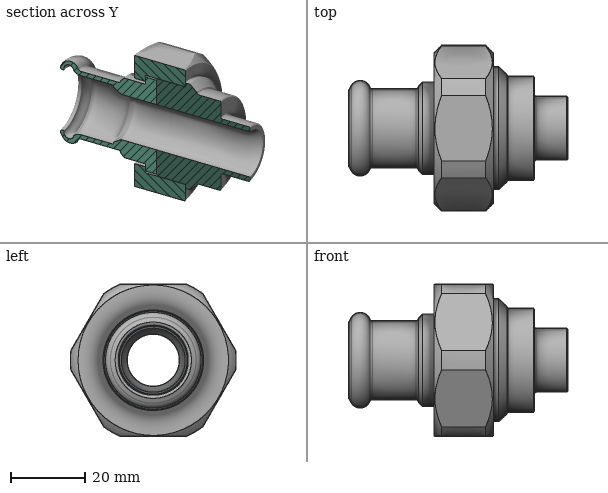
import cadquery as cq
import math

BORE_D = 14.0

TUBE_R = 21.3 / 2
LIP_R = 18.7 / 2
SOCKET_R = 18.3 / 2
STOP_R = 17.2 / 2
CONE_R = 17.0 / 2
MOUTH_R = 10.25
MOUTH_LENGTH = 0.6
BEAD_X = 3.1
BEAD_R = 12.85
BEAD_SECTION_R = 2.8
BEAD_FRONT_X = 0.75
BEAD_REAR_X = 5.7
BEAD_FILLET = 0.7
BEAD_FILLET_END_X = 6.45
LIP_END_X = 1.2
GROOVE_START_X = 1.35
GROOVE_START_R = 9.5
GROOVE_R = 11.4
GROOVE_END_X = 4.2
GROOVE_END_R = 10.05
GROOVE_WALL_X = 4.7
GROOVE_WALL_R = 9.75
GROOVE_FILLET = 2.35
GROOVE_FILLET_END_X = 6.45
SOCKET_END_X = 16.5
CONE_X = 16.65
CONE_LENGTH = 2.35
COLLAR_FILLET_X = 18.1
COLLAR_FILLET = 0.65
COLLAR_X = 19.95
COLLAR_R = 25.0 / 2
FLANGE_R = 29.5 / 2
FLANGE_LENGTH = 3.55

NUT_X = 22.95
NUT_LENGTH = 16.0
NUT_FLATS = 41.0
NUT_CORNER_D = 44.65
NUT_FACE_D = 40.5
NUT_HOLE_D = 26.5
NUT_HOLE_CHAMFER = 0.3
NUT_WALL = 3.55
THREAD_D = 30.25

RIM_R = 33.1 / 2
RIM_END_X = 40.35
BODY_R = 28.0 / 2
RIM_CONE_END_X = 42.6
RIM_CONE_END_R = 14.45
BODY_X = 42.85
BODY_FILLET = 0.55
BODY_END_X = 50.0
BODY_CHAMFER = 0.3
SPIGOT_R = 17.2 / 2
SPIGOT_FILLET = 0.5
SPIGOT_CHAMFER = 0.35
END_X = 59.0

BORE_R = BORE_D / 2
NUT_END_X = NUT_X + NUT_LENGTH
FLANGE_X = NUT_X + NUT_WALL
FLANGE_END_X = FLANGE_X + FLANGE_LENGTH


def spin(profile):
    """Revolve a closed (x, radius) profile about the X axis."""
    return profile.close().revolve(360, (0, 0, 0), (1, 0, 0))


def bead_radius(x):
    """Outer radius of the round bead at axial position x."""
    centre_r = BEAD_R - BEAD_SECTION_R
    return centre_r + math.sqrt(BEAD_SECTION_R**2 - (x - BEAD_X) ** 2)


def make_socket_tailpiece():
    mouth_rise = MOUTH_R - LIP_R
    mouth_round = (MOUTH_LENGTH**2 + mouth_rise**2) / (2 * MOUTH_LENGTH)
    fillet_r = TUBE_R + COLLAR_FILLET
    collar_fillet_x = COLLAR_FILLET_X + COLLAR_FILLET
    profile = (
        cq.Workplane("XY")
        .moveTo(0, MOUTH_R)
        .lineTo(BEAD_FRONT_X, bead_radius(BEAD_FRONT_X))
        .threePointArc((BEAD_X, BEAD_R), (BEAD_REAR_X, bead_radius(BEAD_REAR_X)))
        .radiusArc((BEAD_FILLET_END_X, TUBE_R), -BEAD_FILLET)
        .lineTo(COLLAR_FILLET_X, TUBE_R)
        .radiusArc((collar_fillet_x, fillet_r), -COLLAR_FILLET)
        .lineTo(COLLAR_X, COLLAR_R)
        .lineTo(FLANGE_X, COLLAR_R)
        .lineTo(FLANGE_X, FLANGE_R)
        .lineTo(FLANGE_END_X, FLANGE_R)
        .lineTo(FLANGE_END_X, BORE_R)
        .lineTo(CONE_X + CONE_LENGTH, BORE_R)
        .lineTo(CONE_X, CONE_R)
        .lineTo(SOCKET_END_X, STOP_R)
        .lineTo(SOCKET_END_X, SOCKET_R)
        .lineTo(GROOVE_FILLET_END_X, SOCKET_R)
        .radiusArc((GROOVE_WALL_X, GROOVE_WALL_R), GROOVE_FILLET)
        .lineTo(GROOVE_END_X, GROOVE_END_R)
        .threePointArc((BEAD_X, GROOVE_R), (GROOVE_START_X, GROOVE_START_R))
        .lineTo(LIP_END_X, LIP_R)
        .lineTo(MOUTH_LENGTH, LIP_R)
        .radiusArc((0, MOUTH_R), mouth_round)
    )
    return spin(profile)


def make_nut():
    hexagon = (
        cq.Workplane("YZ", origin=(NUT_X, 0, 0))
        .polygon(6, NUT_FLATS, circumscribed=True)
        .extrude(NUT_LENGTH)
        .rotate((0, 0, 0), (1, 0, 0), 90)
    )
    corner_limit = (
        cq.Workplane("YZ", origin=(NUT_X, 0, 0))
        .circle(NUT_CORNER_D / 2)
        .extrude(NUT_LENGTH)
        .faces("<X or >X")
        .chamfer((NUT_CORNER_D - NUT_FACE_D) / 2)
    )
    hole = cq.Workplane("YZ", origin=(NUT_X, 0, 0)).circle(NUT_HOLE_D / 2).extrude(NUT_WALL)
    thread = cq.Workplane("YZ", origin=(FLANGE_X, 0, 0)).circle(THREAD_D / 2).extrude(NUT_LENGTH)
    nut = hexagon.intersect(corner_limit).cut(hole).cut(thread)
    entry = cq.selectors.RadiusNthSelector(0)
    return nut.faces("<X").edges("%CIRCLE").edges(entry).chamfer(NUT_HOLE_CHAMFER)


def make_spigot_tailpiece():
    profile = (
        cq.Workplane("XY")
        .moveTo(FLANGE_END_X, BORE_R)
        .lineTo(FLANGE_END_X, THREAD_D / 2)
        .lineTo(NUT_END_X, THREAD_D / 2)
        .lineTo(NUT_END_X, RIM_R)
        .lineTo(RIM_END_X, RIM_R)
        .lineTo(RIM_CONE_END_X, RIM_CONE_END_R)
        .radiusArc((BODY_X, BODY_R), -BODY_FILLET)
        .lineTo(BODY_END_X - BODY_CHAMFER, BODY_R)
        .lineTo(BODY_END_X, BODY_R - BODY_CHAMFER)
        .lineTo(BODY_END_X, SPIGOT_R + SPIGOT_FILLET)
        .radiusArc((BODY_END_X + SPIGOT_FILLET, SPIGOT_R), -SPIGOT_FILLET)
        .lineTo(END_X - SPIGOT_CHAMFER, SPIGOT_R)
        .lineTo(END_X, SPIGOT_R - SPIGOT_CHAMFER)
        .lineTo(END_X, BORE_R)
    )
    return spin(profile)


socket_tailpiece = make_socket_tailpiece()
nut = make_nut()
spigot_tailpiece = make_spigot_tailpiece()

result = cq.Compound.makeCompound([socket_tailpiece.val(), nut.val(), spigot_tailpiece.val()])